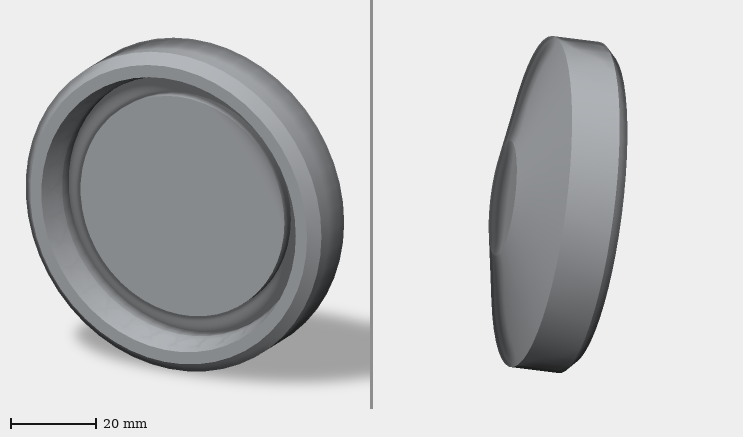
import cadquery as cq

outer_diameter = 78.4
total_depth = 21.0
rim_chamfer = 2.5
cone_start = 14.0
back_flat_diameter = 27.3

recess_mouth_diameter = 67.45
recess_floor_diameter = 63.8
taper_depth = 7.05
recess_depth = 10.35
pad_diameter = 54.0

outer_radius = outer_diameter / 2
pad_face = taper_depth

profile = [
    (0, pad_face),
    (pad_diameter / 2, pad_face),
    (pad_diameter / 2, recess_depth),
    (recess_floor_diameter / 2, recess_depth),
    (recess_floor_diameter / 2, taper_depth),
    (recess_mouth_diameter / 2, 0),
    (outer_radius - rim_chamfer, 0),
    (outer_radius, rim_chamfer),
    (outer_radius, cone_start),
    (back_flat_diameter / 2, total_depth),
    (0, total_depth),
]

result = cq.Workplane("XY").polyline(profile).close().revolve(360, (0, 0, 0), (0, 1, 0))